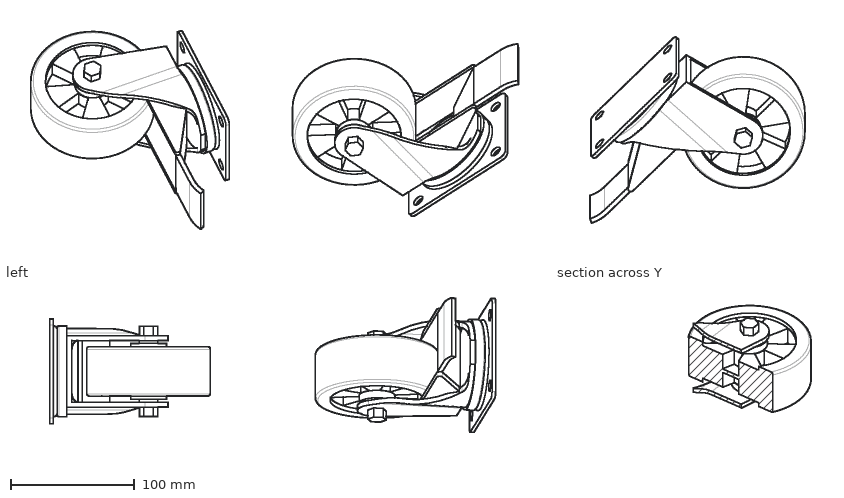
import cadquery as cq
import math


wheel_diameter = 100.0
wheel_width = 40.0
tread_fillet = 2.0
rim_bore_diameter = 75.9
rim_recess_depth = 3.6
web_thickness = 4.0
spoke_count = 5
pocket_inner_diameter = 29.8
pocket_outer_diameter = 75.5

hub_diameter = 29.0
hub_length = 45.3
spacer_diameter = 15.1
bolt_length = 73.2
bolt_head_flats = 13.0
hexagon_sides = 6

sheet = 4.0
fork_inner_gap = 49.7
fork_eye_radius = 15.9
fork_rear_lean = 2.3
slope_angle = 53.3
slope_fillet = 10.0
swivel_offset = 45.0
fork_bulge_radius = 34.8
fork_blend_start = 25.6
fork_tip_reach = 33.3

plate_length = 100.0
plate_height = 85.0
plate_thickness = 3.0
plate_corner = 5.0
bolt_hole_diameter = 9.0
bolt_hole_pitch_x = 79.9
bolt_hole_pitch_z = 60.0
race_diameter = 73.5
upper_race_height = 2.9
upper_race_fillet = 2.7
lower_race_height = 8.0
lower_race_fillet = 1.5
overall_height = 130.0

overall_length = 191.1
pedal_underside = 31.3
pedal_bend_x = 98.6
pedal_straight_end = 126.1
pedal_tip_radius = 32.5
ramp_angle = 30.0
ramp_sheet = 3.0
ramp_start = 60.0
cheek_nose_radius = 2.3

plate_top = overall_height - wheel_diameter / 2
plate_bottom = plate_top - plate_thickness
fork_top = plate_bottom - upper_race_height - lower_race_height
fork_half_inner = fork_inner_gap / 2
fork_half_outer = fork_half_inner + sheet


def centred_cylinder(diameter, length):
    """Cylinder on the wheel axis, centred on the wheel's middle plane."""
    return cq.Workplane("XY").circle(diameter / 2).extrude(length / 2, both=True)


def swivel_disc(diameter, top, height):
    """Disc on the swivel axis, hanging down from the level `top`."""
    axis_plane = cq.Workplane("XZ", origin=(swivel_offset, top, 0))
    return axis_plane.circle(diameter / 2).extrude(height)


def make_pocket(start_angle, sweep):
    """Sector between hub and rim, open from the web outward, left between two spokes."""

    def at(diameter, angle):
        turn = math.radians(angle)
        return (diameter / 2 * math.cos(turn), diameter / 2 * math.sin(turn))

    middle_angle = start_angle + sweep / 2
    end_angle = start_angle + sweep
    return (
        cq.Workplane("XY", origin=(0, 0, web_thickness / 2))
        .moveTo(*at(pocket_inner_diameter, start_angle))
        .lineTo(*at(pocket_outer_diameter, start_angle))
        .threePointArc(
            at(pocket_outer_diameter, middle_angle),
            at(pocket_outer_diameter, end_angle),
        )
        .lineTo(*at(pocket_inner_diameter, end_angle))
        .threePointArc(
            at(pocket_inner_diameter, middle_angle),
            at(pocket_inner_diameter, start_angle),
        )
        .close()
        .extrude((wheel_width - web_thickness) / 2)
    )


def make_wheel():
    wheel = centred_cylinder(wheel_diameter, wheel_width).faces("|Z").edges().fillet(tread_fillet)
    recess = (
        cq.Workplane("XY", origin=(0, 0, wheel_width / 2 - rim_recess_depth))
        .circle(rim_bore_diameter / 2)
        .circle(hub_diameter / 2)
        .extrude(rim_recess_depth)
    )
    wheel = wheel.cut(recess).cut(recess.mirror("XY"))
    sector = 180 / spoke_count
    for index in range(spoke_count):
        pocket = make_pocket(2 * index * sector, sector)
        wheel = wheel.cut(pocket).cut(pocket.mirror("XY"))
    wheel = wheel.union(centred_cylinder(hub_diameter, hub_length))
    return wheel.union(centred_cylinder(spacer_diameter, 2 * fork_half_outer))


def make_bolt():
    half_facet = 180 / hexagon_sides
    corner_diameter = bolt_head_flats / math.cos(math.radians(half_facet))
    bolt = cq.Workplane("XY").polygon(hexagon_sides, corner_diameter).extrude(bolt_length / 2, both=True)
    bolt = bolt.rotate((0, 0, 0), (0, 0, 1), half_facet)
    return bolt.cut(centred_cylinder(wheel_diameter, 2 * fork_half_inner))


def make_mounting_plate():
    plate = (
        cq.Workplane("XZ", origin=(swivel_offset, plate_top, 0))
        .rect(plate_length, plate_height)
        .extrude(plate_thickness)
        .edges("|Y")
        .fillet(plate_corner)
    )
    return (
        plate.faces("<Y")
        .workplane(origin=(swivel_offset, plate_bottom, 0))
        .rect(bolt_hole_pitch_x, bolt_hole_pitch_z, forConstruction=True)
        .vertices()
        .hole(bolt_hole_diameter)
    )


def make_bearing():
    upper_race = swivel_disc(race_diameter, plate_bottom, upper_race_height)
    upper_race = upper_race.faces("<Y").edges().fillet(upper_race_fillet)
    lower_race = swivel_disc(race_diameter, plate_bottom - upper_race_height, lower_race_height)
    lower_race = lower_race.faces(">Y").edges().fillet(lower_race_fillet)
    return upper_race.union(lower_race)


def fork_plan(offset, height):
    """Plan of the fork, shrunk inward by `offset`, extruded down from its top.

    Flat sides run into concave blends and then bulge out around the swivel axis.
    """
    half_width = fork_half_outer - offset
    bulge = fork_bulge_radius - offset
    blend = (fork_blend_start**2 + fork_half_outer**2 - fork_bulge_radius**2) / (
        2 * (fork_bulge_radius - fork_half_outer)
    )
    blend_z = fork_half_outer + blend
    blend_angle = math.atan2(fork_blend_start, blend_z)
    middle_angle = blend_angle / 2
    blend_radius = blend + offset

    flat_end = (-fork_blend_start, half_width)
    blend_middle = (
        -fork_blend_start + blend_radius * math.sin(middle_angle),
        blend_z - blend_radius * math.cos(middle_angle),
    )
    bulge_start = (-bulge * math.sin(blend_angle), bulge * math.cos(blend_angle))
    back = -swivel_offset - 2 * fork_eye_radius

    def mirrored(point):
        return (point[0], -point[1])

    return (
        cq.Workplane("XZ", origin=(swivel_offset, fork_top, 0))
        .moveTo(back, half_width)
        .lineTo(*flat_end)
        .threePointArc(blend_middle, bulge_start)
        .threePointArc((bulge, 0), mirrored(bulge_start))
        .threePointArc(mirrored(blend_middle), mirrored(flat_end))
        .lineTo(back, -half_width)
        .close()
        .extrude(height)
    )


def fork_side_profile():
    """Side outline: a round eye at the axle, widening up to the base plate."""
    slope = math.radians(slope_angle)
    base_underside = fork_top - sheet
    front_eye = (fork_eye_radius * math.sin(slope), -fork_eye_radius * math.cos(slope))
    slope_top_x = fork_eye_radius / math.sin(slope) + base_underside / math.tan(slope)

    corner_distance = math.hypot(fork_rear_lean, fork_top)
    corner_angle = math.atan2(fork_top, -fork_rear_lean)
    rear_angle = corner_angle + math.acos(fork_eye_radius / corner_distance)
    rear_eye = (fork_eye_radius * math.cos(rear_angle), fork_eye_radius * math.sin(rear_angle))

    setback = slope_fillet * math.tan(slope / 2)
    fillet_centre = (slope_top_x + setback, base_underside - slope_fillet)
    fillet_start = (slope_top_x - setback * math.cos(slope), base_underside - setback * math.sin(slope))
    fillet_middle = (
        fillet_centre[0] - slope_fillet * math.sin(slope / 2),
        fillet_centre[1] + slope_fillet * math.cos(slope / 2),
    )
    tip = swivel_offset + fork_tip_reach

    return (
        cq.Workplane("XY")
        .moveTo(-fork_rear_lean, fork_top)
        .lineTo(*rear_eye)
        .threePointArc((0, -fork_eye_radius), front_eye)
        .lineTo(*fillet_start)
        .threePointArc(fillet_middle, (fillet_centre[0], base_underside))
        .lineTo(tip, base_underside)
        .lineTo(tip, fork_top)
        .close()
        .extrude(plate_height / 2, both=True)
    )


def make_fork():
    depth = fork_top + 2 * fork_eye_radius
    hollow = fork_plan(sheet, depth).translate((0, -sheet, 0))
    return fork_plan(0, depth).cut(hollow).intersect(fork_side_profile())


def make_brake():
    rise = math.tan(math.radians(ramp_angle))
    ramp_step = ramp_sheet / math.cos(math.radians(ramp_angle))
    ramp_underside = pedal_underside + (pedal_bend_x - ramp_start) * rise
    ramp_top = ramp_underside + ramp_step
    pedal_top = pedal_underside + sheet
    inner_bend_x = ramp_start + (ramp_top - pedal_top) / rise

    tip_x = overall_length - wheel_diameter / 2
    curl = math.asin((tip_x - pedal_straight_end) / pedal_tip_radius)
    curl_centre_y = pedal_underside + pedal_tip_radius

    def on_curl(radius, angle):
        return (
            pedal_straight_end + radius * math.sin(angle),
            curl_centre_y - radius * math.cos(angle),
        )

    upper_radius = pedal_tip_radius - sheet
    pedal = (
        cq.Workplane("XY")
        .moveTo(ramp_start, ramp_underside)
        .lineTo(pedal_bend_x, pedal_underside)
        .lineTo(pedal_straight_end, pedal_underside)
        .threePointArc(on_curl(pedal_tip_radius, curl / 2), on_curl(pedal_tip_radius, curl))
        .lineTo(*on_curl(upper_radius, curl))
        .threePointArc(on_curl(upper_radius, curl / 2), (pedal_straight_end, pedal_top))
        .lineTo(inner_bend_x, pedal_top)
        .lineTo(ramp_start, ramp_top)
        .close()
        .extrude(fork_half_inner, both=True)
    )

    cheek_root = swivel_offset - fork_blend_start
    nose = (pedal_bend_x - cheek_nose_radius, pedal_underside + cheek_nose_radius)
    lean = math.radians(ramp_angle)
    nose_top = (
        nose[0] + cheek_nose_radius * math.sin(lean),
        nose[1] + cheek_nose_radius * math.cos(lean),
    )
    cheeks = (
        cq.Workplane("XY")
        .moveTo(cheek_root - sheet, pedal_underside)
        .lineTo(nose[0], pedal_underside)
        .threePointArc((pedal_bend_x, nose[1]), nose_top)
        .lineTo(ramp_start, ramp_top)
        .lineTo(cheek_root - sheet, ramp_top)
        .close()
        .extrude(fork_half_outer, both=True)
    )
    between_cheeks = cq.Workplane("XY").box(2 * overall_length, 2 * overall_height, fork_inner_gap)
    cheeks = cheeks.cut(between_cheeks)
    return pedal.union(cheeks)


result = (
    make_wheel()
    .union(make_fork())
    .union(make_bolt())
    .union(make_bearing())
    .union(make_mounting_plate())
    .union(make_brake())
)